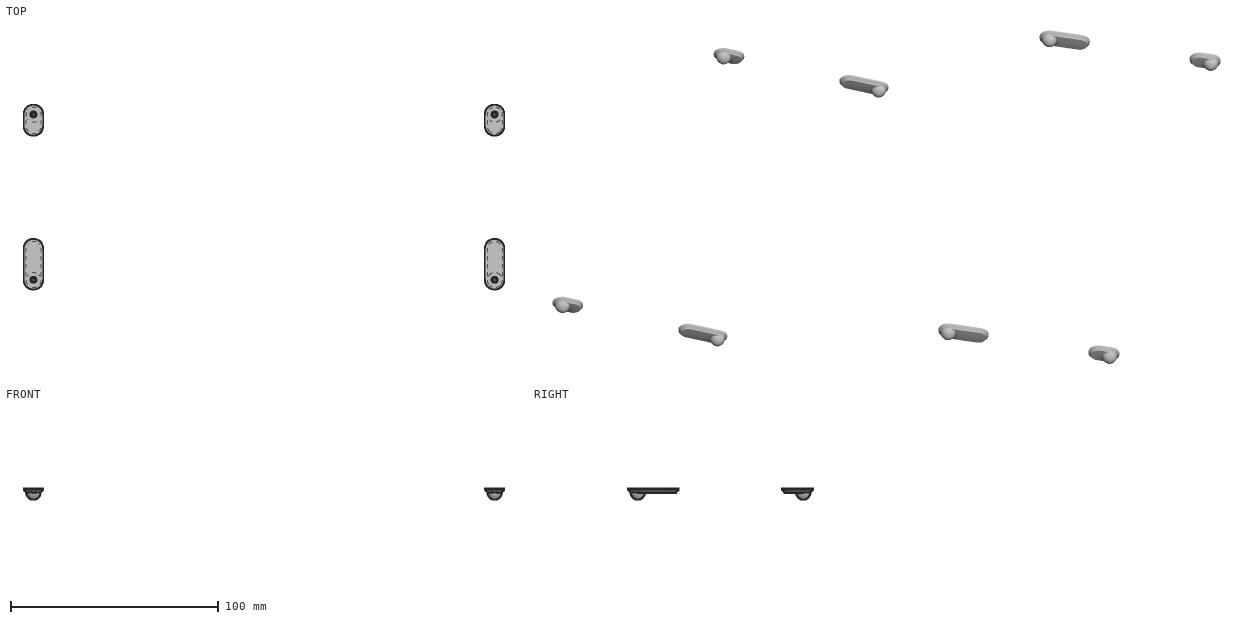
import cadquery as cq

OVERALL_X = 232.0
OVERALL_Y = 89.4
OVERALL_Z = 5.5

PLATE_WIDTH = 9.5
PLATE_THICKNESS = 2.3
RIM_HEIGHT = 0.7
BEVEL = 1.2
SHORT_LENGTH = 15.0
LONG_LENGTH = 24.5

BOSS_TOP_RADIUS = PLATE_WIDTH / 2 - BEVEL
BOSS_TIP_RADIUS = 0.7
BOSS_BULGE_RADIUS = 4.2

SINK_RADIUS = 1.5
BORE_RADIUS = 1.05
SINK_DEPTH = 0.7
BORE_DEPTH = 1.9
POINT_DEPTH = 1.2

AXIS_X = (OVERALL_X - PLATE_WIDTH) / 2
AXIS_Y = (OVERALL_Y - PLATE_WIDTH) / 2


def revolve_about_z(profile):
    """Turn a closed XZ profile a full circle about the Z axis."""
    return profile.close().revolve(360, (0, 0, 0), (0, 1, 0))


def make_plate(length, inward):
    """Round-ended plate: one end is centred on the origin, the other lies along inward * Y."""
    centre_y = inward * (length - PLATE_WIDTH) / 2
    base_length = length - 2 * BEVEL
    base_width = PLATE_WIDTH - 2 * BEVEL
    sketch = cq.Workplane("XY").center(0, centre_y)
    rim = sketch.slot2D(length, PLATE_WIDTH, 90).extrude(-RIM_HEIGHT)
    bevel = (
        sketch.workplane(offset=-RIM_HEIGHT - BEVEL)
        .slot2D(base_length, base_width, 90)
        .extrude(BEVEL, taper=-45)
    )
    base = sketch.slot2D(base_length, base_width, 90).extrude(-PLATE_THICKNESS)
    return rim.union(bevel).union(base)


def make_boss():
    profile = (
        cq.Workplane("XZ")
        .moveTo(0, -PLATE_THICKNESS)
        .lineTo(-BOSS_TOP_RADIUS, -PLATE_THICKNESS)
        .radiusArc((-BOSS_TIP_RADIUS, -OVERALL_Z), -BOSS_BULGE_RADIUS)
        .lineTo(0, -OVERALL_Z)
    )
    return revolve_about_z(profile)


def make_hole():
    profile = cq.Workplane("XZ").polyline(
        [
            (0, 0),
            (-SINK_RADIUS, 0),
            (-BORE_RADIUS, -SINK_DEPTH),
            (-BORE_RADIUS, -BORE_DEPTH),
            (0, -BORE_DEPTH - POINT_DEPTH),
        ]
    )
    return revolve_about_z(profile)


def make_foot(length, inward):
    return make_plate(length, inward).union(make_boss()).cut(make_hole())


def make_short_foot(axis_x):
    return make_foot(SHORT_LENGTH, -1).translate((axis_x, AXIS_Y, 0))


def make_long_foot(axis_x):
    return make_foot(LONG_LENGTH, 1).translate((axis_x, -AXIS_Y, 0))


feet = []
for axis_x in (-AXIS_X, AXIS_X):
    feet.append(make_short_foot(axis_x).val())
    feet.append(make_long_foot(axis_x).val())

result = cq.Compound.makeCompound(feet)